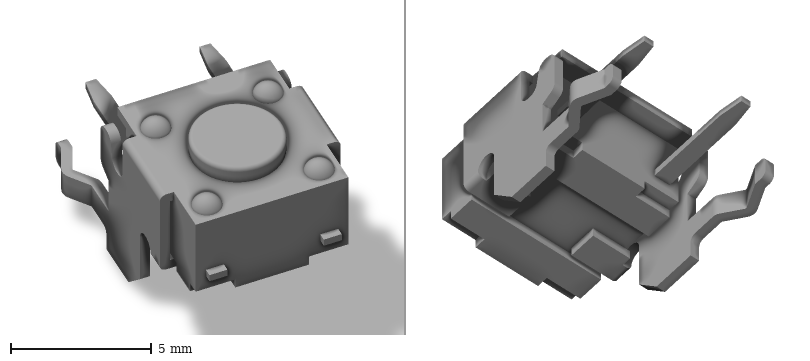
import cadquery as cq
import math


TOTAL_HEIGHT = 7.15
SHEET = 0.4
BEND_RADIUS = 0.25
OUTLINE_RADIUS = 0.4

BODY_WIDTH = 5.98
BODY_HALF = BODY_WIDTH / 2
BODY_BOTTOM = 2.83
COVER_TOP = 6.49
FLOOR_STEP = SHEET
CHANNEL_HALF = 1.33
FOOT_END = 2.5
END_PAD_WIDTH = 2.88

COVER_LEFT = -3.75
COVER_BOTTOM = COVER_TOP - SHEET
WING_LEFT = -2.1
WING_RIGHT = 1.11

BUTTON_DIAMETER = 3.5
BUTTON_ROUND = 0.15
STUD_DIAMETER = 1.12
STUD_HEIGHT = 0.41
STUD_PITCH = 4.4

PIN_LEFT = -7.7
PIN_RIGHT = 3.3
PIN_TAPER_END = -6.68
PIN_WIDTH = 0.7
PIN_TIP_WIDTH = 0.42
PIN_THICKNESS = 0.3
PIN_BOTTOM = 3.84
PIN_PITCH = 4.48

WALL_OUTER = 3.54
WALL_INNER = WALL_OUTER - SHEET
WALL_MIDDLE = WALL_OUTER - SHEET / 2
LOBE_LEFT = -3.99
LOBE_TOP = 5.8
LOBE_TOP_RIGHT = -3.16
SLOT_BOTTOM_LEFT = -2.93
SLOT_BOTTOM = 4.51
LOBE_BOTTOM = 3.84
NECK_LEFT = -3.31
NECK_TOP = 3.49
LEG_LEFT = -3.5
LEG_TIP_RIGHT = -1.58
LEG_RIGHT = -0.6
NOTCH_RIGHT = 0.31
NOTCH_RADIUS = (NOTCH_RIGHT - LEG_RIGHT) / 2
NOTCH_TOP = 3.49

ARM_BOTTOM = 0.99
ARM_TOP = 2.01
ARM_HEIGHT = ARM_TOP - ARM_BOTTOM
ARM_TIP = -7.48
ARM_TIP_BEND = -6.95
ARM_TIP_MIDDLE = 3.52
ARM_APEX = -5.79
ARM_APEX_MIDDLE = 4.05
ARM_ROOT_BEND = -4.83
ARM_ROOT_END = ARM_ROOT_BEND + SHEET
APEX_INNER_RADIUS = 0.1
APEX_OUTER_RADIUS = APEX_INNER_RADIUS + SHEET

TAB_LEFT = -0.1
TAB_TIP = END_PAD_WIDTH / 2


def box(x_min, x_max, y_min, y_max, z_min, z_max):
    size = (x_max - x_min, y_max - y_min, z_max - z_min)
    return cq.Workplane("XY").box(*size, centered=False).translate((x_min, y_min, z_min))


def rounded_outline(plane, corners):
    """Closed wire through (u, v, radius) corners; each non-zero radius becomes a tangent arc."""
    stretches = []
    for index, (u, v, radius) in enumerate(corners):
        corner = cq.Vector(u, v)
        to_last = (cq.Vector(*corners[index - 1][:2]) - corner).normalized()
        to_next = (cq.Vector(*corners[(index + 1) % len(corners)][:2]) - corner).normalized()
        half_angle = to_last.getAngle(to_next) / 2
        setback = radius / math.tan(half_angle)
        bulge = radius / math.sin(half_angle) - radius
        start = corner + to_last * setback
        middle = corner + (to_last + to_next).normalized() * bulge
        end = corner + to_next * setback
        stretches.append([(p.x, p.y) for p in (start, middle, end)] if radius else [(u, v)])

    sketch = cq.Workplane(plane).moveTo(*stretches[0][-1])
    for stretch in stretches[1:] + stretches[:1]:
        sketch = sketch.lineTo(*stretch[0])
        if len(stretch) > 1:
            sketch = sketch.threePointArc(*stretch[1:])
    return sketch.wire()


def body():
    block = box(-BODY_HALF, BODY_HALF, -BODY_HALF, BODY_HALF, BODY_BOTTOM + FLOOR_STEP, COVER_BOTTOM)
    for side in (-1, 1):
        foot_x = sorted((side * CHANNEL_HALF, side * FOOT_END))
        pad_x = sorted((side * CHANNEL_HALF, side * BODY_HALF))
        foot = box(*foot_x, -BODY_HALF, BODY_HALF, BODY_BOTTOM, COVER_BOTTOM)
        pad = box(*pad_x, -END_PAD_WIDTH / 2, END_PAD_WIDTH / 2, BODY_BOTTOM, COVER_BOTTOM)
        block = block.union(foot).union(pad)
    return block


def cover():
    plate = box(COVER_LEFT, BODY_HALF, -BODY_HALF, BODY_HALF, COVER_BOTTOM, COVER_TOP)
    wings = box(WING_LEFT, WING_RIGHT, -WALL_OUTER, WALL_OUTER, COVER_BOTTOM, COVER_TOP)
    wings = wings.edges("|X and >Z").fillet(BEND_RADIUS)
    return plate.union(wings)


def button():
    height = TOTAL_HEIGHT - COVER_BOTTOM
    shaft = cq.Workplane("XY").workplane(offset=COVER_BOTTOM).circle(BUTTON_DIAMETER / 2).extrude(height)
    return shaft.faces(">Z").edges().fillet(BUTTON_ROUND)


def studs():
    """Four spherical caps on the cover."""
    base_radius = STUD_DIAMETER / 2
    sphere_radius = (base_radius**2 + STUD_HEIGHT**2) / (2 * STUD_HEIGHT)
    half_sweep = math.asin(base_radius / sphere_radius) / 2
    arc_middle = (
        sphere_radius * math.sin(half_sweep),
        STUD_HEIGHT - sphere_radius * (1 - math.cos(half_sweep)),
    )
    cap = (
        cq.Workplane("XZ")
        .lineTo(base_radius, 0)
        .threePointArc(arc_middle, (0, STUD_HEIGHT))
        .close()
        .revolve(360, (0, 0), (0, 1))
    )
    spots = cq.Workplane("XY").workplane(offset=COVER_TOP).rarray(STUD_PITCH, STUD_PITCH, 2, 2)
    return spots.eachpoint(lambda spot: cap.val().moved(spot))


def pin():
    """Flat terminal with a tapered tip, centred on Y = 0."""
    half = PIN_WIDTH / 2
    half_tip = PIN_TIP_WIDTH / 2
    outline = [
        (PIN_LEFT, -half_tip),
        (PIN_TAPER_END, -half),
        (PIN_RIGHT, -half),
        (PIN_RIGHT, half),
        (PIN_TAPER_END, half),
        (PIN_LEFT, half_tip),
    ]
    return cq.Workplane("XY").workplane(offset=PIN_BOTTOM).polyline(outline).close().extrude(PIN_THICKNESS)


def side_wall():
    """Wall of the bracket on the +Y side, up to the root end of its spring arm."""
    corners = [
        (WING_LEFT, COVER_TOP, 0),
        (WING_LEFT, SLOT_BOTTOM, OUTLINE_RADIUS),
        (SLOT_BOTTOM_LEFT, SLOT_BOTTOM, OUTLINE_RADIUS),
        (LOBE_TOP_RIGHT, LOBE_TOP, OUTLINE_RADIUS),
        (LOBE_LEFT, LOBE_TOP, OUTLINE_RADIUS),
        (LOBE_LEFT, LOBE_BOTTOM, OUTLINE_RADIUS),
        (NECK_LEFT, NECK_TOP, 0),
        (NECK_LEFT, ARM_TOP, 0),
        (ARM_ROOT_END, ARM_TOP, 0),
        (ARM_ROOT_END, ARM_BOTTOM, 0),
        (LEG_LEFT, ARM_BOTTOM, BEND_RADIUS),
        (LEG_LEFT, 0, 0),
        (LEG_TIP_RIGHT, 0, 0),
        (LEG_RIGHT, LEG_RIGHT - LEG_TIP_RIGHT, 0),
        (LEG_RIGHT, BODY_BOTTOM, 0),
        (WING_RIGHT, BODY_BOTTOM, 0),
        (WING_RIGHT, COVER_TOP, 0),
    ]
    bend_edges = cq.selectors.BoxSelector(
        (WING_LEFT, WALL_INNER, BODY_BOTTOM - SHEET),
        (WING_RIGHT, WALL_OUTER + SHEET, COVER_TOP + SHEET),
    )
    wall = rounded_outline("XZ", corners).extrude(-SHEET).translate((0, WALL_INNER, 0))
    wall = wall.edges("|X and >Y").edges(bend_edges).fillet(BEND_RADIUS)
    notch_z = NOTCH_TOP - NOTCH_RADIUS
    notch = (
        cq.Workplane("XZ")
        .moveTo(LEG_RIGHT, 0)
        .lineTo(LEG_RIGHT, notch_z)
        .threePointArc((LEG_RIGHT + NOTCH_RADIUS, NOTCH_TOP), (NOTCH_RIGHT, notch_z))
        .lineTo(NOTCH_RIGHT, 0)
        .close()
        .extrude(-WALL_OUTER)
    )
    return wall.cut(notch)


def spring_arm():
    """Zigzag arm on the +Y side: a strip of sheet rounded at the apex and at the root bend."""
    middle_line = [
        cq.Vector(ARM_TIP, ARM_TIP_MIDDLE),
        cq.Vector(ARM_TIP_BEND, ARM_TIP_MIDDLE),
        cq.Vector(ARM_APEX, ARM_APEX_MIDDLE),
        cq.Vector(ARM_ROOT_BEND, WALL_MIDDLE),
        cq.Vector(ARM_ROOT_END, WALL_MIDDLE),
    ]
    outer_radii = [0, 0, APEX_OUTER_RADIUS, 0, 0]
    inner_radii = [0, 0, APEX_INNER_RADIUS, SHEET, 0]

    across = cq.Vector(0, 1)
    outer = []
    inner = []
    for index, point in enumerate(middle_line):
        mitre = across
        if 0 < index < len(middle_line) - 1:
            before = (point - middle_line[index - 1]).normalized()
            after = (middle_line[index + 1] - point).normalized()
            along = (before + after).normalized()
            mitre = cq.Vector(-along.y, along.x) / along.dot(before)
        outer_corner = point + mitre * (SHEET / 2)
        inner_corner = point - mitre * (SHEET / 2)
        outer.append((outer_corner.x, outer_corner.y, outer_radii[index]))
        inner.append((inner_corner.x, inner_corner.y, inner_radii[index]))

    strip = rounded_outline("XY", outer + inner[::-1]).extrude(ARM_HEIGHT).translate((0, 0, ARM_BOTTOM))
    return strip.faces("<X").edges("|Y").fillet(BEND_RADIUS)


def bottom_tab():
    """Tab folded in under the body from the +Y wall."""
    return box(TAB_LEFT, WING_RIGHT, TAB_TIP, WALL_INNER, BODY_BOTTOM, BODY_BOTTOM + SHEET)


result = body().union(cover()).union(button()).union(studs())
for pin_y in (-PIN_PITCH / 2, PIN_PITCH / 2):
    result = result.union(pin().translate((0, pin_y, 0)))
bracket_side = side_wall().union(spring_arm()).union(bottom_tab())
result = result.union(bracket_side).union(bracket_side.mirror("XZ"))